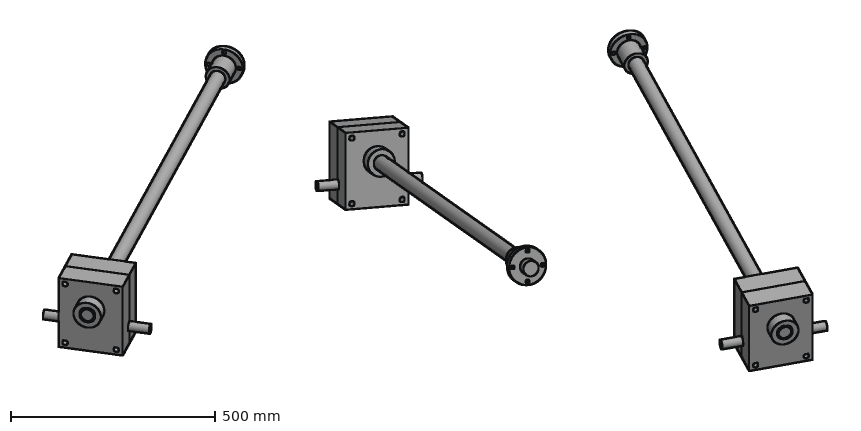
import cadquery as cq
import math

housing_width = 163.0
housing_height = 195.0
housing_depth = 122.0
half_depth = housing_depth / 2
hub_diameter = 70.0
length_over_hubs = 187.0
hub_length = (length_over_hubs - housing_depth) / 2
bolt_diameter = 13.0
bolt_spacing_x = 130.0
bolt_spacing_z = 166.0

screw_diameter = 40.0
screw_length = 1315.0
screw_chamfer = 3.3
screw_start = -half_depth - hub_length
screw_end = screw_start + screw_length

screw_height = 120.0
worm_height = 50.0
worm_drop = screw_height - worm_height
worm_diameter = 25.0
worm_length = 270.0
center_hole_diameter = 6.7
center_hole_depth = 13.0

nut_end_gap = 25.0
flange_diameter = 96.0
flange_thickness = 17.0
sleeve_diameter = 60.0
sleeve_length = 59.0
flange_hole_diameter = 9.0
flange_hole_circle = 78.0
flange_hole_count = 4

housing_mid_z = housing_height / 2 - screw_height


def y_cylinder(diameter, start, end, x=0, z=0):
    """Cylinder along Y between two Y positions."""
    origin = cq.Vector(x, start, z)
    return cq.Workplane(cq.Solid.makeCylinder(diameter / 2, end - start, origin, cq.Vector(0, 1, 0)))


def x_cylinder(diameter, start, end):
    """Cylinder on the worm axis between two X positions."""
    origin = cq.Vector(start, 0, -worm_drop)
    return cq.Workplane(cq.Solid.makeCylinder(diameter / 2, end - start, origin, cq.Vector(1, 0, 0)))


def make_housing_half(side):
    """Housing half with its hub; side is -1 for the front half, 1 for the rear half."""
    outer_y = half_depth + hub_length
    half = cq.Workplane().box(housing_width, half_depth, housing_height)
    half = half.translate((0, side * half_depth / 2, housing_mid_z))
    hub_ends = sorted((0, side * outer_y))
    half = half.union(y_cylinder(hub_diameter, *hub_ends))
    half = half.cut(y_cylinder(screw_diameter, -outer_y, outer_y))
    half = half.cut(x_cylinder(worm_diameter, -worm_length / 2, worm_length / 2))
    for x in (-bolt_spacing_x / 2, bolt_spacing_x / 2):
        for z_offset in (-bolt_spacing_z / 2, bolt_spacing_z / 2):
            z = housing_mid_z + z_offset
            half = half.cut(y_cylinder(bolt_diameter, -half_depth, half_depth, x, z))
    return half


def make_worm_shaft():
    """Plain input shaft with a centre hole in each end."""
    end_x = worm_length / 2
    shaft = x_cylinder(worm_diameter, -end_x, end_x)
    shaft = shaft.cut(x_cylinder(center_hole_diameter, -end_x, -end_x + center_hole_depth))
    return shaft.cut(x_cylinder(center_hole_diameter, end_x - center_hole_depth, end_x))


def make_screw():
    """Lifting screw, chamfered at the gearbox end."""
    screw = y_cylinder(screw_diameter, screw_start, screw_end)
    return screw.faces("<Y").chamfer(screw_chamfer)


def make_nut():
    """Flanged nut with a ring of holes through the flange."""
    flange_back = screw_end - nut_end_gap
    flange_front = flange_back - flange_thickness
    sleeve_front = flange_front - sleeve_length
    nut = y_cylinder(flange_diameter, flange_front, flange_back)
    nut = nut.union(y_cylinder(sleeve_diameter, sleeve_front, flange_back))
    nut = nut.cut(y_cylinder(screw_diameter, sleeve_front, flange_back))
    for index in range(flange_hole_count):
        angle = math.radians(index * 360 / flange_hole_count)
        x = flange_hole_circle / 2 * math.cos(angle)
        z = flange_hole_circle / 2 * math.sin(angle)
        nut = nut.cut(y_cylinder(flange_hole_diameter, flange_front, flange_back, x, z))
    return nut


front_housing = make_housing_half(-1)
rear_housing = make_housing_half(1)
worm_shaft = make_worm_shaft()
screw = make_screw()
nut = make_nut()

result = cq.Compound.makeCompound(
    [front_housing.val(), rear_housing.val(), worm_shaft.val(), screw.val(), nut.val()]
)